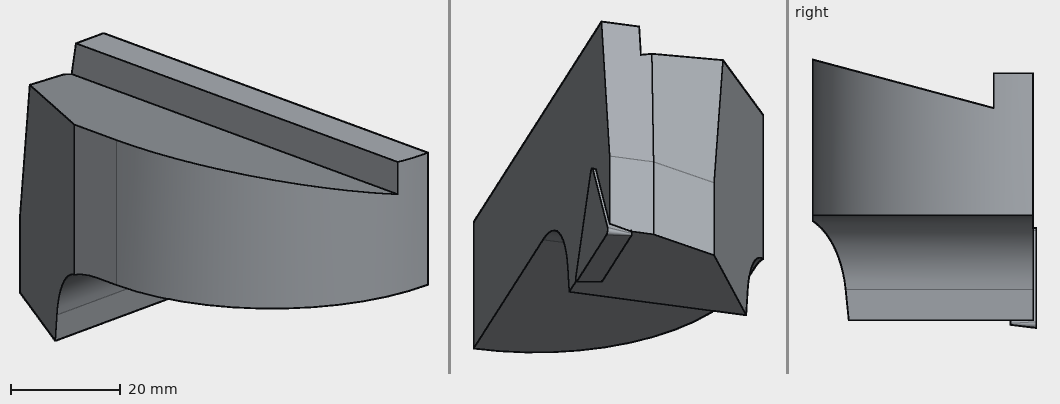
import cadquery as cq
import math

length = 89.5
head_radius = 40.1
back_y = head_radius
peak_z = 48.9
leg_bottom_z = 1.4
head_bottom_z = 20.5

side_x = 0.9
side_front_y = 31.8
corner_x = 5.8
corner_y = 18.9
front_flat_x = 38.6

lean_start_z = 16.3
side_lean = 10.0
chamfer_lean = 8.6

top_slope = 15.0
rail_front_y = 32.9
rail_top_z = 46.4

undercut_radius = 16.3
undercut_center_x = 44.2
leg_draft = 10.0

inscribed_radius = 6.35
nose_radius = 0.8
insert_thickness = 4.7
relief_angle = 7.0
insert_face_y = 40.7

margin = 8.95


def tan(degrees):
    return math.tan(math.radians(degrees))


def plan_block():
    """Plan outline of the holder, extruded to its full height."""
    arc_center_x = length - head_radius
    diagonal = head_radius * math.sqrt(0.5)
    return (
        cq.Workplane("XY", origin=(0, 0, leg_bottom_z))
        .moveTo(side_x, back_y)
        .lineTo(side_x, side_front_y)
        .lineTo(corner_x, corner_y)
        .lineTo(front_flat_x, 0)
        .lineTo(arc_center_x, 0)
        .threePointArc((arc_center_x + diagonal, back_y - diagonal), (length, back_y))
        .close()
        .extrude(peak_z - leg_bottom_z)
    )


def top_cutter():
    """Material above the sloped top and the rail."""
    rail_foot_z = peak_z - rail_front_y * tan(top_slope)
    cutter_top_z = peak_z + margin
    return (
        cq.Workplane("YZ", origin=(-margin, 0, 0))
        .polyline([
            (0, peak_z),
            (rail_front_y, rail_foot_z),
            (rail_front_y, rail_top_z),
            (back_y + margin, rail_top_z),
            (back_y + margin, cutter_top_z),
            (0, cutter_top_z),
        ])
        .close()
        .extrude(length + 2 * margin)
    )


def lean_cutter(inward, lean):
    """Wedge that tilts a side wall about its line at lean_start_z; inward is the wall's normal."""
    height = peak_z + margin - lean_start_z
    wall = cq.Plane(origin=(side_x, side_front_y, lean_start_z), xDir=inward,
                    normal=(inward[1], -inward[0], 0))
    return (
        cq.Workplane(wall)
        .polyline([(0, 0), (height * tan(lean), height), (-margin, height), (-margin, 0)])
        .close()
        .extrude(length, both=True)
    )


def undercut_cutter():
    """Rounded space under the head, beside the leg."""
    center_z = head_bottom_z - undercut_radius

    def arc_point(degrees):
        angle = math.radians(degrees)
        return (undercut_center_x - undercut_radius * math.cos(angle),
                center_z + undercut_radius * math.sin(angle))

    tangent_x, tangent_z = arc_point(leg_draft)
    floor_z = leg_bottom_z - margin
    floor_x = tangent_x - (tangent_z - floor_z) * tan(leg_draft)
    return (
        cq.Workplane("XZ", origin=(0, -margin, 0))
        .moveTo(floor_x, floor_z)
        .lineTo(tangent_x, tangent_z)
        .threePointArc(arc_point((90 + leg_draft) / 2), arc_point(90))
        .lineTo(length + margin, head_bottom_z)
        .lineTo(length + margin, floor_z)
        .close()
        .extrude(-(back_y + 2 * margin))
    )


def make_insert():
    """Triangular insert with rounded noses, narrowing away from its face by the relief angle."""

    def section(offset_y, inset):
        nose_distance = 2 * (inscribed_radius - nose_radius)
        noses = [
            (nose_distance * math.cos(math.radians(a)), nose_distance * math.sin(math.radians(a)))
            for a in (90, 210, 330)
        ]
        center_x = math.sqrt(3) / 2 * nose_distance + nose_radius
        return (
            cq.Workplane("XZ", origin=(center_x, offset_y, inscribed_radius))
            .polyline(noses)
            .close()
            .offset2D(nose_radius - inset)
            .val()
        )

    inset = insert_thickness * tan(relief_angle)
    face = section(insert_face_y, 0)
    seat = section(insert_face_y - insert_thickness, inset)
    return cq.Workplane(cq.Solid.makeLoft([face, seat], True))


def make_holder(insert):
    """Holder body with a recess that fits the insert."""
    chamfer_x = corner_x - side_x
    chamfer_y = side_front_y - corner_y
    return (
        plan_block()
        .cut(top_cutter())
        .cut(lean_cutter((1, 0, 0), side_lean))
        .cut(lean_cutter((chamfer_y, chamfer_x, 0), chamfer_lean))
        .cut(undercut_cutter())
        .cut(insert)
    )


insert = make_insert()
holder = make_holder(insert)
result = cq.Compound.makeCompound([holder.solids().val(), insert.val()])